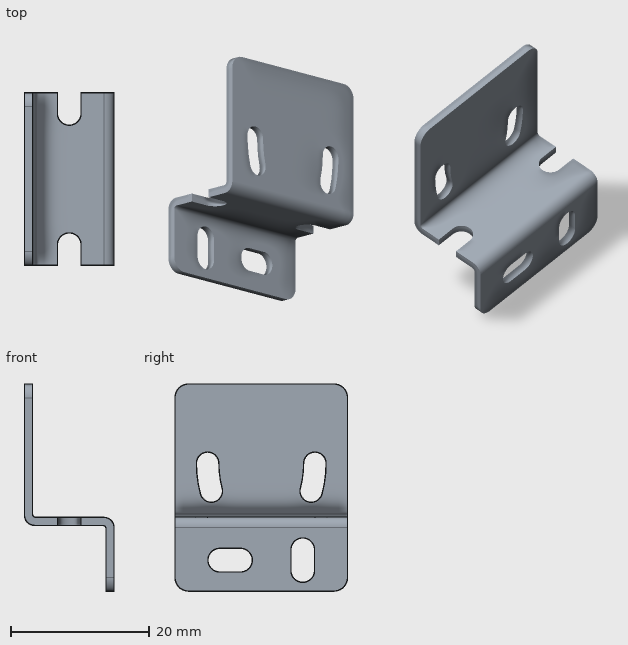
import cadquery as cq
import math

depth = 13.0
width = 25.0
height = 30.0
thickness = 1.2
shelf_top = 10.7
shelf_bottom = shelf_top - thickness
outer_bend_radius = 1.5
inner_bend_radius = 0.45
corner_radius = 2.0

slot_width = 3.4
slot_center_distance = 3.0
slot_length = slot_width + slot_center_distance
lower_slot_z = 4.5
upright_slot_y = 6.0
level_slot_y = -4.5

curved_slot_width = 3.2
curved_slot_spacing = 15.5
curved_slot_z = 18.5
curved_slot_sweep = 15.0


def bent_sheet():
    """Z-shaped sheet with rounded bends, centred on Y = 0."""
    inner_left = thickness
    inner_right = depth - thickness
    profile = [
        (0, height),
        (inner_left, height),
        (inner_left, shelf_top),
        (depth, shelf_top),
        (depth, 0),
        (inner_right, 0),
        (inner_right, shelf_bottom),
        (0, shelf_bottom),
    ]
    sheet = cq.Workplane("XZ").polyline(profile).close().extrude(width / 2, both=True)
    bends = [
        (0, shelf_bottom, outer_bend_radius),
        (depth, shelf_top, outer_bend_radius),
        (inner_left, shelf_top, inner_bend_radius),
        (inner_right, shelf_bottom, inner_bend_radius),
    ]
    for x, z, radius in bends:
        edge = cq.selectors.NearestToPointSelector((x, 0, z))
        sheet = sheet.edges("|Y").edges(edge).fillet(radius)
    return sheet


def shelf_notches():
    """Round-ended notches cut inward from both Y edges of the shelf."""
    return (
        cq.Workplane("XY", origin=(0, 0, shelf_bottom))
        .pushPoints([(depth / 2, width / 2), (depth / 2, -width / 2)])
        .slot2D(2 * slot_center_distance + slot_width, slot_width, 90)
        .extrude(thickness)
    )


def lower_slot(y, angle):
    """Slot through the lower flange, turned by angle from level."""
    return (
        cq.Workplane("YZ", origin=(depth - thickness, y, lower_slot_z))
        .slot2D(slot_length, slot_width, angle)
        .extrude(thickness)
    )


def curved_slot(side):
    """Arc slot through the upper flange, on the +Y (side = 1) or -Y (side = -1) half."""
    center_y = -side * curved_slot_spacing / 2
    end_radius = curved_slot_width / 2
    inner_radius = curved_slot_spacing - end_radius
    outer_radius = curved_slot_spacing + end_radius

    def polar(radius, degrees_below, beyond=0.0):
        """Point below the level of the arc centre, moved 'beyond' along the arc tangent."""
        angle = math.radians(degrees_below)
        across = radius * math.cos(angle) - beyond * math.sin(angle)
        down = radius * math.sin(angle) + beyond * math.cos(angle)
        return center_y + side * across, curved_slot_z - down

    sweep = curved_slot_sweep
    return (
        cq.Workplane("YZ")
        .moveTo(*polar(inner_radius, 0))
        .threePointArc(polar(inner_radius, sweep / 2), polar(inner_radius, sweep))
        .threePointArc(polar(curved_slot_spacing, sweep, end_radius), polar(outer_radius, sweep))
        .threePointArc(polar(outer_radius, sweep / 2), polar(outer_radius, 0))
        .threePointArc(polar(curved_slot_spacing, 0, -end_radius), polar(inner_radius, 0))
        .close()
        .extrude(thickness)
    )


result = bent_sheet()

for end_face in (">Z", "<Z"):
    result = result.faces(end_face).edges("|X").fillet(corner_radius)

result = result.cut(shelf_notches())
result = result.cut(lower_slot(upright_slot_y, 90)).cut(lower_slot(level_slot_y, 0))
for side in (1, -1):
    result = result.cut(curved_slot(side))